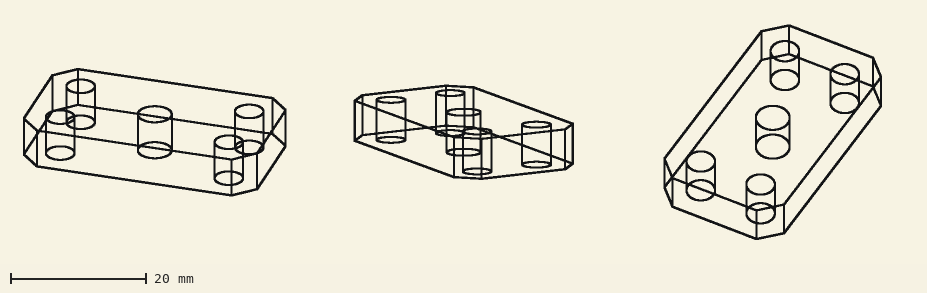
import cadquery as cq

length = 36.0
width = 20.0
thickness = 6.0
corner_chamfer = 3.0

center_hole_diameter = 5.0
corner_hole_diameter = 4.2
corner_hole_spacing_x = 26.0
corner_hole_spacing_y = width / 2


def make_plate():
    """Rectangular plate, centred on the origin, with bevelled vertical corners."""
    plate = cq.Workplane("XY").box(length, width, thickness)
    return plate.edges("|Z").chamfer(corner_chamfer)


def drill_center_hole(plate):
    return plate.faces(">Z").workplane().hole(center_hole_diameter)


def drill_corner_holes(plate):
    """Four through holes on a rectangular pattern about the plate centre."""
    return (
        plate.faces(">Z")
        .workplane()
        .rarray(corner_hole_spacing_x, corner_hole_spacing_y, 2, 2)
        .hole(corner_hole_diameter)
    )


result = drill_corner_holes(drill_center_hole(make_plate()))